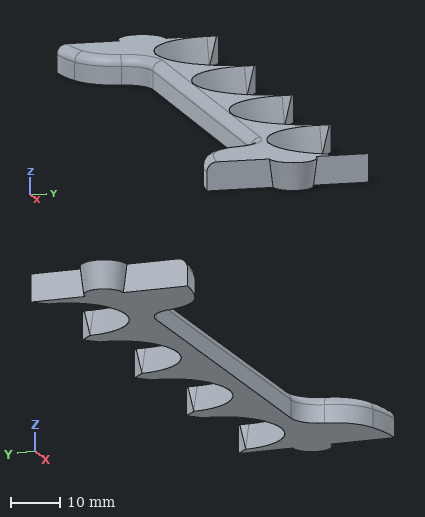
import cadquery as cq
import math

thickness = 6.0
depth = 34.0
bay_count = 4
bay_pitch = 30.0
half_width = bay_count * bay_pitch / 2

bay_center_y = -2.6
bay_top_radius = 14.4
bay_bottom_radius = 12.3
bay_taper = math.degrees(math.atan((bay_top_radius - bay_bottom_radius) / thickness))

bar_front_y = -19.3
bar_half_length = 39.0
heel_start = (44.8, -24.4)
heel_end = (51.4, -32.5)
front_round = 2.1

peg_top_radius = 4.9
peg_bottom_radius = 4.2
half_length = 64.9
peg_center_x = half_length - peg_top_radius
peg_center_y = -16.0


def body_plate():
    """Plate with rear V tips, bar and feet, with a rounded front top edge."""
    outline = (
        cq.Workplane("XY")
        .moveTo(0, bar_front_y)
        .lineTo(bar_half_length, bar_front_y)
        .tangentArcPoint(heel_start, relative=False)
        .tangentArcPoint(heel_end, relative=False)
        .tangentArcPoint((half_width, -depth), relative=False)
        .lineTo(half_width, 0)
    )
    for tip in range(bay_count // 2):
        tip_x = half_width - tip * bay_pitch
        outline = outline.lineTo(tip_x - bay_pitch / 2, -bay_pitch / 2)
        outline = outline.lineTo(tip_x - bay_pitch, 0)
    half = outline.close().extrude(thickness)
    plate = half.union(half.mirror("YZ"))
    margin = 0.1
    front_edges = cq.selectors.BoxSelector(
        (margin - half_width, -depth - margin, thickness - margin),
        (half_width - margin, bar_front_y + margin, thickness + margin),
    )
    return plate.edges(front_edges).fillet(front_round)


def bay_cutter(center_x):
    """U-shaped bay, open to the rear, with sloping walls."""
    straight_length = 2 * bay_pitch
    return (
        cq.Workplane("XY", origin=(center_x, bay_center_y + straight_length / 2, 0))
        .slot2D(straight_length + 2 * bay_bottom_radius, 2 * bay_bottom_radius, 90)
        .extrude(thickness, taper=-bay_taper)
    )


def peg(center_x):
    """Conical peg, widest at the top."""
    base = cq.Vector(center_x, peg_center_y, 0)
    return cq.Workplane(cq.Solid.makeCone(peg_bottom_radius, peg_top_radius, thickness, pnt=base))


result = body_plate()
for bay in range(bay_count):
    result = result.cut(bay_cutter((bay + 0.5) * bay_pitch - half_width))
for side in (-1, 1):
    result = result.union(peg(side * peg_center_x))